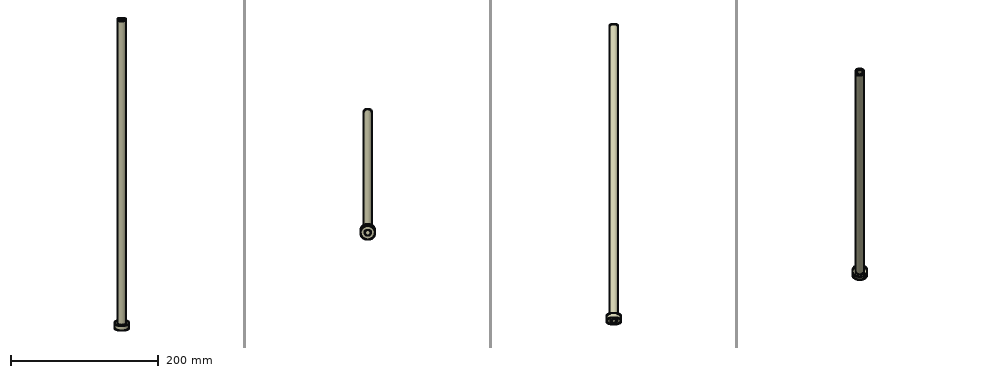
import cadquery as cq

total_length = 457.0
head_diameter = 20.0
head_height = 7.0
shaft_diameter = 12.0
bore_diameter = 8.2


def make_head():
    """Flat round head standing on the XY plane."""
    return cq.Workplane("XY").circle(head_diameter / 2).extrude(head_height)


def add_shaft(body):
    """Long straight shaft rising from the top of the head."""
    shaft_length = total_length - head_height
    return body.faces(">Z").workplane().circle(shaft_diameter / 2).extrude(shaft_length)


def cut_bore(body):
    """Straight bore through the whole length."""
    return body.faces(">Z").workplane().circle(bore_diameter / 2).cutThruAll()


result = cut_bore(add_shaft(make_head()))